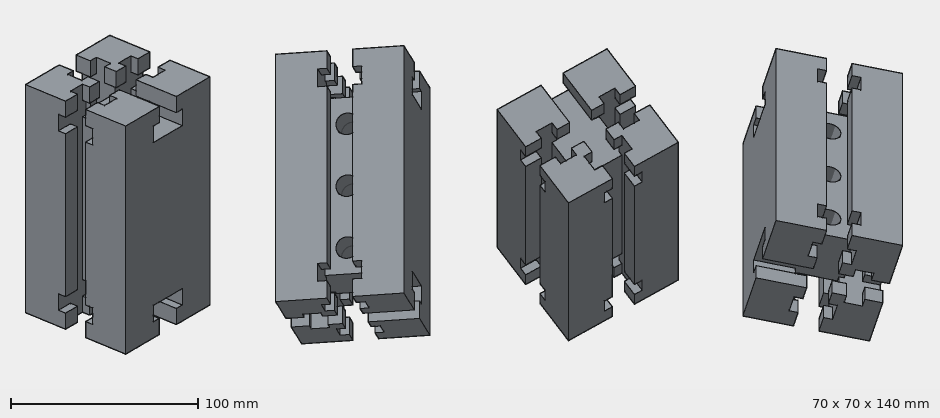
import cadquery as cq

width = 70.0
height = 140.0

neck_width = 14.0
neck_depth = 10.0
slot_width = 24.0
slot_depth = 20.0

hole_diameter = 12.2
hole_spacing = height / 4
hole_offsets = (-hole_spacing, 0, hole_spacing)


def t_slot(plane, face_distance, length):
    """T-slot cutter along the plane normal, opening at the local +y face."""
    head_height = slot_depth - neck_depth
    neck = (
        cq.Workplane(plane)
        .center(0, face_distance - neck_depth / 2)
        .rect(neck_width, neck_depth)
        .extrude(length / 2, both=True)
    )
    head = (
        cq.Workplane(plane)
        .center(0, face_distance - neck_depth - head_height / 2)
        .rect(slot_width, head_height)
        .extrude(length / 2, both=True)
    )
    return neck.union(head)


block = cq.Workplane("XY").box(width, width, height)

for plane, axis in (("XZ", (0, 1, 0)), ("YZ", (1, 0, 0))):
    end_slot = t_slot(plane, height / 2, width)
    for angle in (0, 180):
        block = block.cut(end_slot.rotate((0, 0, 0), axis, angle))

side_slot = t_slot("XY", width / 2, height)
for angle in (0, 90, 180):
    block = block.cut(side_slot.rotate((0, 0, 0), (0, 0, 1), angle))

holes = (
    cq.Workplane("XZ")
    .pushPoints([(0, offset) for offset in hole_offsets])
    .circle(hole_diameter / 2)
    .extrude(width / 2, both=True)
)

result = block.cut(holes)